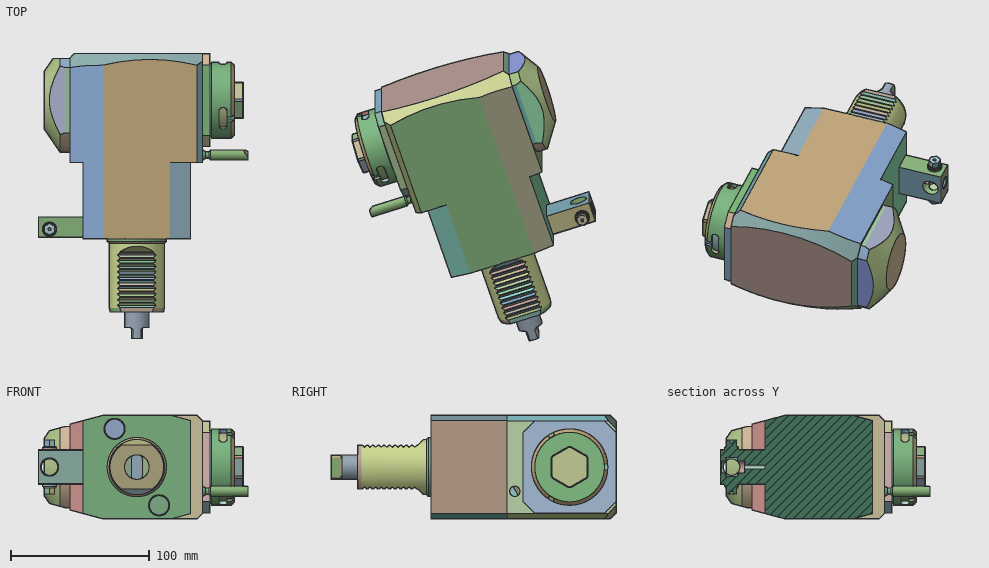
import cadquery as cq
import math


HALF_HEIGHT = 37.5
BACK_Y = 134.0
STEP_Y = 55.0
STEM_HALF_WIDTH = 39.0
HEAD_LEFT = -48.5
HEAD_RIGHT = 47.5
SLANT_START_X = 24.3
SLANT = math.tan(math.radians(15))
HEAD_CHAMFER = 4.1
LEFT_BACK_CHAMFER = 3.3
BACK_ARC_RADIUS = 136.0
BACK_ARC_X = 9.5
BACK_BEVEL = 4.3
PLUG_X = 16.0
PLUG_Z = 27.6
PLUG_RADIUS = 7.6
HOLE_BEVEL = 0.6

SPINDLE_Y = 100.1
PLATE_THICKNESS = 5.2
PLATE_WIDTH = 67.2
PLATE_HEIGHT = 66.3
PLATE_CORNER = 8.2
NUT_GAP = 1.0
NUT_GAP_RADIUS = 26.4
NUT_RADIUS = 27.6
NUT_LENGTH = 16.9
NUT_CHAMFER = 2.5
NUT_SLOT_COUNT = 3
NUT_SLOT_FIRST_ANGLE = 30.0
NUT_SLOT_LENGTH = 18.1
NUT_SLOT_WIDTH = 5.5
NUT_SLOT_DEPTH = 2.7
NUT_SLOT_SETBACK = 8.5
NUT_KEYWAY_WIDTH = 4.1
NUT_KEYWAY_DEPTH = 2.3
HEX_ACROSS_FLATS = 26.5
HEX_CORNER_RADIUS = 14.8
HEX_LENGTH = 6.4
HEX_CHAMFER = 0.6

PIN_Y = 60.5
PIN_Z = -17.5
PIN_RADIUS = 3.7
PIN_NECK_RADIUS = 2.5
PIN_END = 80.3
PIN_NECK_START = 2.0
PIN_NECK_LENGTH = 2.5
PIN_TIP_CUT = 3.0
PIN_TIP_TURN = 30.0

CAP_RADIUS = 37.7
CAP_FACE_RADIUS = 20.8
CAP_RIM_X = -55.5
CAP_FACE_X = -67.0
CAP_HALF_HEIGHT = 29.5
CAP_STRAIGHT_X = -51.5
CAP_BACK_Y = 130.5
CAP_CORNER = 6.2

BRACKET_LEFT = -71.0
BRACKET_FRONT = 0.8
BRACKET_BACK = 15.9
BRACKET_HALF_HEIGHT = 12.5
BRACKET_CHAMFER = 0.6
PORT_X = -63.0
PORT_Y = 7.0
PORT_RADIUS = 6.0
CROSS_RADIUS = 4.1
CROSS_X_REACH = 9.5
CROSS_Z_REACH = 6.8
FEED_RADIUS = 1.2
WASHER_RADIUS = 5.2
WASHER_HEIGHT = 1.5
COLLAR_RADIUS = 4.5
COLLAR_HEIGHT = 1.0
NIPPLE_TOP = 19.5
NIPPLE_ACROSS_FLATS = 7.5
NIPPLE_BORE_RADIUS = 1.0
NIPPLE_BORE_DEPTH = 2.0

FLANGE_RADIUS = 21.5
FLANGE_LENGTH = 1.9
SHANK_RADIUS = 20.0
SHANK_LENGTH = 53.0
SHANK_TAPER_LENGTH = 2.9
SHANK_TAPER_DEPTH = 0.6
FLAT_HEIGHT = 15.9
FLAT_START = 9.5
GROOVE_COUNT = 10
GROOVE_SPAN = 36.3
GROOVE_HALF_WIDTH = 1.6
GROOVE_DEPTH = 1.5
FIRST_GROOVE = 11.7
DRIVE_RADIUS = 8.9
DRIVE_SHOULDER = 64.0
DRIVE_LENGTH = 72.0
TANG_HALF_WIDTH = 4.0
TANG_CORNER_RADIUS = 2.5
TANG_FOOT_RADIUS = 1.0

CUT_MARGIN = 2.0
HEX_TURN = 30.0


def cylinder_x(radius, start, length, y, z=0.0):
    return cq.Workplane("YZ", origin=(start, y, z)).circle(radius).extrude(length)


def cylinder_y(radius, start, length, x=0.0, z=0.0):
    return cq.Workplane("XZ", origin=(x, start, z)).circle(radius).extrude(-length)


def mouth_bevel(radius, point, direction):
    """A 45 degree cone that opens a hole to `radius` at `point` and narrows along `direction`."""
    start = cq.Vector(*point)
    cone = cq.Solid.makeCone(radius, radius - HOLE_BEVEL, HOLE_BEVEL, start, cq.Vector(*direction))
    return cq.Workplane(cone)


def box(x_range, y_range, z_range):
    lengths = [r[1] - r[0] for r in (x_range, y_range, z_range)]
    corner = (x_range[0], y_range[0], z_range[0])
    return cq.Workplane("XY").box(*lengths, centered=False).translate(corner)


def mirrored_outline(upper_points):
    """Close an outline that is symmetric about its local X axis."""
    return upper_points + [(u, -v) for u, v in reversed(upper_points)]


def slanted_height(half_width):
    return HALF_HEIGHT - (half_width - SLANT_START_X) * SLANT


def make_housing():
    stem_edge = slanted_height(STEM_HALF_WIDTH)
    stem_points = [
        (-STEM_HALF_WIDTH, stem_edge),
        (-SLANT_START_X, HALF_HEIGHT),
        (SLANT_START_X, HALF_HEIGHT),
        (STEM_HALF_WIDTH, stem_edge),
    ]
    head_points = [
        (HEAD_LEFT, slanted_height(-HEAD_LEFT)),
        (-SLANT_START_X, HALF_HEIGHT),
        (HEAD_RIGHT - HEAD_CHAMFER, HALF_HEIGHT),
        (HEAD_RIGHT, HALF_HEIGHT - HEAD_CHAMFER),
    ]
    stem = cq.Workplane("XZ").polyline(mirrored_outline(stem_points)).close().extrude(-STEP_Y)
    head = (
        cq.Workplane("XZ", origin=(0, STEP_Y, 0))
        .polyline(mirrored_outline(head_points)).close().extrude(STEP_Y - BACK_Y)
    )
    head = head.edges("|Z and <X and >Y").chamfer(LEFT_BACK_CHAMFER)
    housing = stem.union(head)

    small_radius = BACK_ARC_RADIUS - BACK_BEVEL
    for side in (1, -1):
        base = cq.Vector(BACK_ARC_X, 0, side * (HALF_HEIGHT - BACK_ARC_RADIUS))
        cone = cq.Solid.makeCone(small_radius + BACK_Y, small_radius, BACK_Y, base, cq.Vector(0, 1, 0))
        housing = housing.intersect(cq.Workplane(cone))

    for side in (1, -1):
        plug_centre = (-side * PLUG_X, 0, side * PLUG_Z)
        housing = housing.cut(mouth_bevel(PLUG_RADIUS, plug_centre, (0, 1, 0)))
    return housing


def make_spindle():
    plate = (
        cq.Workplane("YZ", origin=(HEAD_RIGHT, SPINDLE_Y, 0))
        .rect(PLATE_WIDTH, PLATE_HEIGHT).extrude(PLATE_THICKNESS)
        .edges("|X").chamfer(PLATE_CORNER)
    )
    gap_start = HEAD_RIGHT + PLATE_THICKNESS
    nut_start = gap_start + NUT_GAP
    nut_end = nut_start + NUT_LENGTH
    gap = cylinder_x(NUT_GAP_RADIUS, gap_start, NUT_GAP, SPINDLE_Y)
    nut = cylinder_x(NUT_RADIUS, nut_start, NUT_LENGTH, SPINDLE_Y).faces(">X").edges().chamfer(NUT_CHAMFER)

    slot_x = nut_end - NUT_SLOT_SETBACK
    slot_floor = NUT_RADIUS - NUT_SLOT_DEPTH
    slot = (
        cq.Workplane("XY", origin=(slot_x, SPINDLE_Y, 0))
        .slot2D(NUT_SLOT_LENGTH, NUT_SLOT_WIDTH, 90).extrude(NUT_RADIUS + CUT_MARGIN)
        .cut(cylinder_x(slot_floor, slot_x - NUT_SLOT_WIDTH, 2 * NUT_SLOT_WIDTH, SPINDLE_Y))
    )
    keyway = box(
        (slot_x, nut_end),
        (SPINDLE_Y - NUT_KEYWAY_WIDTH / 2, SPINDLE_Y + NUT_KEYWAY_WIDTH / 2),
        (NUT_RADIUS - NUT_KEYWAY_DEPTH, NUT_RADIUS + CUT_MARGIN),
    )
    cutter = slot.union(keyway)
    for i in range(NUT_SLOT_COUNT):
        angle = NUT_SLOT_FIRST_ANGLE + i * 360 / NUT_SLOT_COUNT
        nut = nut.cut(cutter.rotate((0, SPINDLE_Y, 0), (1, SPINDLE_Y, 0), angle))

    hex_diameter = HEX_ACROSS_FLATS / math.cos(math.pi / 6)
    hexagon = (
        cq.Workplane("YZ", origin=(nut_end, SPINDLE_Y, 0))
        .transformed(rotate=(0, 0, HEX_TURN)).polygon(6, hex_diameter).extrude(HEX_LENGTH)
        .intersect(cylinder_x(HEX_CORNER_RADIUS, nut_end, HEX_LENGTH, SPINDLE_Y))
        .faces(">X").chamfer(HEX_CHAMFER)
    )
    return plate.union(gap).union(nut).union(hexagon)


def make_pin():
    flare = PIN_RADIUS - PIN_NECK_RADIUS
    neck_start = HEAD_RIGHT + PIN_NECK_START
    neck_end = neck_start + PIN_NECK_LENGTH
    outline = [
        (HEAD_RIGHT, 0),
        (HEAD_RIGHT, PIN_RADIUS),
        (neck_start, PIN_NECK_RADIUS),
        (neck_end, PIN_NECK_RADIUS),
        (neck_end + flare, PIN_RADIUS),
        (PIN_END, PIN_RADIUS),
        (PIN_END, 0),
    ]
    tip = [
        (PIN_END - PIN_TIP_CUT, PIN_RADIUS),
        (PIN_END, PIN_RADIUS - PIN_TIP_CUT),
        (PIN_END, 2 * PIN_RADIUS),
        (PIN_END - PIN_TIP_CUT, 2 * PIN_RADIUS),
    ]
    pin = cq.Workplane("XY").polyline(outline).close().revolve(360, (0, 0, 0), (1, 0, 0))
    tip_cut = cq.Workplane("XY").polyline(tip).close().extrude(2 * PIN_RADIUS, both=True)
    tip_cut = tip_cut.rotate((0, 0, 0), (1, 0, 0), PIN_TIP_TURN)
    return pin.cut(tip_cut).translate((0, PIN_Y, PIN_Z))


def make_cap():
    outline = [
        (HEAD_LEFT, 0),
        (HEAD_LEFT, CAP_RADIUS),
        (CAP_RIM_X, CAP_RADIUS),
        (CAP_FACE_X, CAP_FACE_RADIUS),
        (CAP_FACE_X, 0),
    ]
    cap = (
        cq.Workplane("XY").polyline(outline).close()
        .revolve(360, (0, 0, 0), (1, 0, 0)).translate((0, SPINDLE_Y, 0))
    )
    side_points = [
        (CAP_FACE_X, CAP_HALF_HEIGHT - (CAP_STRAIGHT_X - CAP_FACE_X) * SLANT),
        (CAP_STRAIGHT_X, CAP_HALF_HEIGHT),
        (HEAD_LEFT, CAP_HALF_HEIGHT),
    ]
    sides = cq.Workplane("XZ").polyline(mirrored_outline(side_points)).close().extrude(-BACK_Y)
    back_points = [
        (0, CAP_HALF_HEIGHT),
        (CAP_BACK_Y - CAP_CORNER, CAP_HALF_HEIGHT),
        (CAP_BACK_Y, CAP_HALF_HEIGHT - CAP_CORNER),
    ]
    back = (
        cq.Workplane("YZ", origin=(CAP_FACE_X, 0, 0))
        .polyline(mirrored_outline(back_points)).close().extrude(HEAD_LEFT - CAP_FACE_X)
    )
    return cap.intersect(sides).intersect(back)


def make_bracket():
    bracket = box(
        (BRACKET_LEFT, -STEM_HALF_WIDTH),
        (BRACKET_FRONT, BRACKET_BACK),
        (-BRACKET_HALF_HEIGHT, BRACKET_HALF_HEIGHT),
    ).edges("|X and <Y").chamfer(BRACKET_CHAMFER)

    port = cylinder_y(PORT_RADIUS, BRACKET_FRONT, BRACKET_BACK - BRACKET_FRONT, PORT_X)
    port_bevel = mouth_bevel(PORT_RADIUS + HOLE_BEVEL, (PORT_X, BRACKET_FRONT, 0), (0, 1, 0))
    cross_end = PORT_X + CROSS_X_REACH
    cross_x = cylinder_x(CROSS_RADIUS, BRACKET_LEFT, cross_end - BRACKET_LEFT, PORT_Y)
    cross_bevel = mouth_bevel(CROSS_RADIUS + HOLE_BEVEL, (BRACKET_LEFT, PORT_Y, 0), (1, 0, 0))
    feed = cylinder_x(FEED_RADIUS, cross_end, -STEM_HALF_WIDTH - cross_end, PORT_Y)
    cross_z = (
        cq.Workplane("XY", origin=(PORT_X, PORT_Y, 0))
        .circle(CROSS_RADIUS).extrude(CROSS_Z_REACH, both=True)
    )
    for cutter in (port, port_bevel, cross_x, cross_bevel, feed, cross_z):
        bracket = bracket.cut(cutter)

    base = cq.Workplane("XY", origin=(PORT_X, PORT_Y, BRACKET_HALF_HEIGHT))
    washer = base.circle(WASHER_RADIUS).extrude(WASHER_HEIGHT)
    collar = base.circle(COLLAR_RADIUS).extrude(WASHER_HEIGHT + COLLAR_HEIGHT)
    hexagon = (
        base.polygon(6, NIPPLE_ACROSS_FLATS / math.cos(math.pi / 6))
        .extrude(NIPPLE_TOP - BRACKET_HALF_HEIGHT)
        .faces(">Z").workplane().circle(NIPPLE_BORE_RADIUS).cutBlind(-NIPPLE_BORE_DEPTH)
        .rotate((PORT_X, PORT_Y, 0), (PORT_X, PORT_Y, 1), HEX_TURN)
    )
    nipple = washer.union(collar).union(hexagon)
    return bracket.union(nipple).union(nipple.mirror("XY"))


def make_shank():
    outline = [
        (0, 0),
        (FLANGE_RADIUS, 0),
        (FLANGE_RADIUS, -FLANGE_LENGTH),
        (SHANK_RADIUS, -FLANGE_LENGTH - (FLANGE_RADIUS - SHANK_RADIUS)),
        (SHANK_RADIUS, SHANK_TAPER_LENGTH - SHANK_LENGTH),
        (SHANK_RADIUS - SHANK_TAPER_DEPTH, -SHANK_LENGTH),
        (0, -SHANK_LENGTH),
    ]
    shank = cq.Workplane("XY").polyline(outline).close().revolve(360, (0, 0, 0), (0, 1, 0))

    flat_depth = SHANK_RADIUS - FLAT_HEIGHT
    cutter = (
        cq.Workplane("YZ")
        .polyline([
            (-FLAT_START, FLAT_HEIGHT),
            (-FLAT_START + flat_depth, SHANK_RADIUS),
            (-SHANK_LENGTH, SHANK_RADIUS),
            (-SHANK_LENGTH, FLAT_HEIGHT),
        ]).close().extrude(SHANK_RADIUS, both=True)
    )
    for i in range(GROOVE_COUNT):
        valley_y = -FIRST_GROOVE - i * GROOVE_SPAN / (GROOVE_COUNT - 1)
        groove = (
            cq.Workplane("YZ")
            .polyline([
                (valley_y - GROOVE_HALF_WIDTH, FLAT_HEIGHT),
                (valley_y, FLAT_HEIGHT - GROOVE_DEPTH),
                (valley_y + GROOVE_HALF_WIDTH, FLAT_HEIGHT),
            ]).close().extrude(SHANK_RADIUS, both=True)
        )
        cutter = cutter.union(groove)
    shank = shank.cut(cutter).cut(cutter.mirror("XY"))

    journal = cylinder_y(DRIVE_RADIUS, -DRIVE_SHOULDER, DRIVE_SHOULDER - SHANK_LENGTH)
    tang = (
        cq.Workplane("XZ", origin=(0, -DRIVE_SHOULDER, 0))
        .rect(2 * TANG_HALF_WIDTH, 2 * DRIVE_RADIUS).extrude(DRIVE_LENGTH - DRIVE_SHOULDER)
        .edges("|Y").fillet(TANG_CORNER_RADIUS)
    )
    foot_half_width = TANG_HALF_WIDTH + TANG_FOOT_RADIUS
    foot = (
        cq.Workplane("XY", origin=(0, -DRIVE_SHOULDER, 0))
        .moveTo(-foot_half_width, 0).lineTo(foot_half_width, 0)
        .radiusArc((TANG_HALF_WIDTH, -TANG_FOOT_RADIUS), -TANG_FOOT_RADIUS)
        .lineTo(-TANG_HALF_WIDTH, -TANG_FOOT_RADIUS)
        .radiusArc((-foot_half_width, 0), -TANG_FOOT_RADIUS).close()
        .extrude(DRIVE_RADIUS, both=True)
    )
    envelope = cylinder_y(DRIVE_RADIUS, -DRIVE_LENGTH, DRIVE_LENGTH - DRIVE_SHOULDER)
    drive = journal.union(tang.union(foot).intersect(envelope))
    return shank.union(drive)


result = make_housing()
for component in (make_spindle(), make_pin(), make_cap(), make_bracket(), make_shank()):
    result = result.union(component)